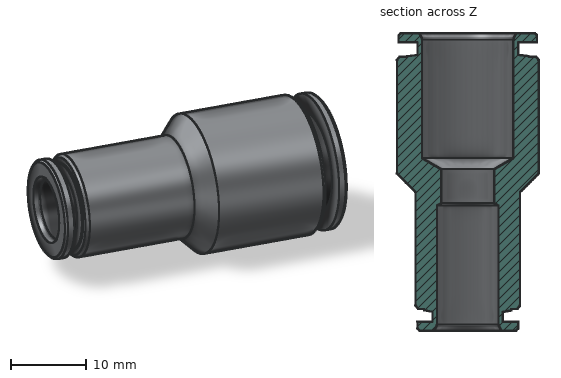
import cadquery as cq
import math

length = 39.65
half_length = length / 2

small_body_diameter = 14.0
large_body_diameter = 19.0
shoulder_start = 18.48
shoulder_length = (large_body_diameter - small_body_diameter) / 2
body_chamfer_length = 0.48
body_chamfer_depth = 0.4

flange_thickness = 1.23
flange_chamfer = 0.3
small_flange_diameter = 13.5
small_neck_diameter = 9.4
large_flange_diameter = 18.5
large_neck_diameter = 13.5

small_face_setback = 2.9
small_pad_diameter = 11.65
small_pad_rim_setback = 2.7
small_pad_top_setback = 2.5
large_face_setback = 3.15
large_pad_diameter = 16.25
large_pad_rim_setback = 3.05
large_pad_top_setback = 2.9

through_diameter = 7.0
small_bore_diameter = 8.15
large_bore_diameter = 12.15
bore_depth = 16.65
mouth_flare = 0.3
mouth_length = 0.6
lead_in_flare = 0.08
lead_in_length = 0.25
stop_slope = math.tan(math.radians(30))


def end_outline(body, flange, neck, pad, face_setback, rim_setback, top_setback):
    """Outside of one end as (radius, setback) points, from the axis out to the body."""
    return [
        (0, 0),
        (flange / 2 - flange_chamfer, 0),
        (flange / 2, flange_chamfer),
        (flange / 2, flange_thickness),
        (neck / 2, flange_thickness),
        (neck / 2, top_setback),
        (pad / 2, rim_setback),
        (pad / 2, face_setback),
        (body / 2 - body_chamfer_depth, face_setback),
        (body / 2, face_setback + body_chamfer_length),
    ]


def bore_outline(bore):
    """Bore of one port as (radius, setback) points, from the axis in to the through passage."""
    bore_radius = bore / 2
    through_radius = through_diameter / 2
    lead_in_radius = bore_radius + lead_in_flare
    stop_length = (bore_radius - through_radius) * stop_slope
    return [
        (0, 0),
        (lead_in_radius + mouth_flare, 0),
        (lead_in_radius, mouth_length),
        (bore_radius, mouth_length + lead_in_length),
        (bore_radius, bore_depth),
        (through_radius, bore_depth + stop_length),
    ]


def turn(small_end, large_end):
    """Join the outlines of both ends and revolve them about the Y axis."""
    points = [(radius, setback - half_length) for radius, setback in small_end]
    points += [(radius, half_length - setback) for radius, setback in reversed(large_end)]
    return cq.Workplane("XY").polyline(points).close().revolve(360, (0, 0, 0), (0, 1, 0))


small_outside = end_outline(
    small_body_diameter, small_flange_diameter, small_neck_diameter, small_pad_diameter,
    small_face_setback, small_pad_rim_setback, small_pad_top_setback,
)
large_outside = end_outline(
    large_body_diameter, large_flange_diameter, large_neck_diameter, large_pad_diameter,
    large_face_setback, large_pad_rim_setback, large_pad_top_setback,
)
shoulder = [
    (small_body_diameter / 2, shoulder_start),
    (large_body_diameter / 2, shoulder_start + shoulder_length),
]

outside = turn(small_outside + shoulder, large_outside)
bores = turn(bore_outline(small_bore_diameter), bore_outline(large_bore_diameter))

result = outside.cut(bores)